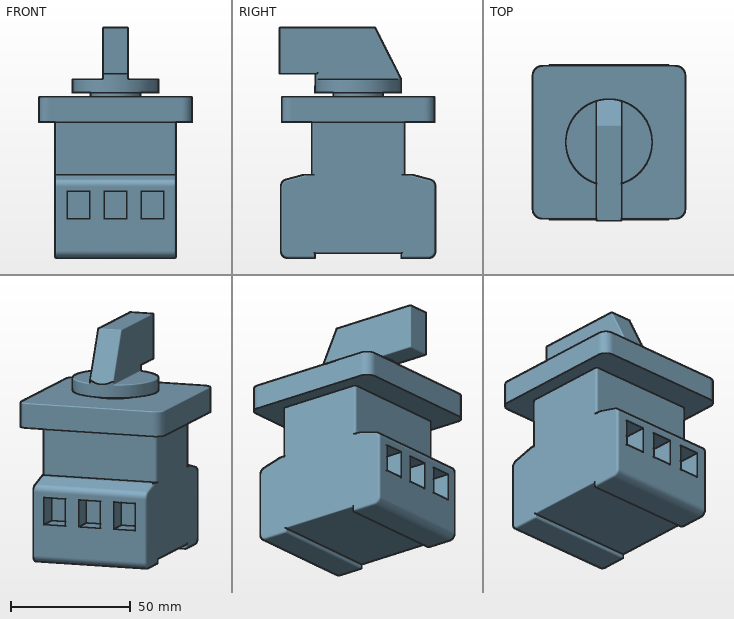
import cadquery as cq
import math

TOLERANCE = 0.1

BODY_WIDTH = 50.7
BODY_EDGE_RADIUS = 1.0

BASE_DEPTH = 64.75
BASE_TOP = 35.0
BASE_FLAT_DEPTH = 45.2
SHOULDER_SLOPE = 15
BASE_CORNER_RADIUS = 3.0

RAIL_SLOT_WIDTH = 35.9
RAIL_SLOT_HEIGHT = 2.0
RAIL_SLOT_EDGE_RADIUS = 0.5

WINDOW_COUNT = 3
WINDOW_PITCH = 15.4
WINDOW_WIDTH = 9.6
WINDOW_HEIGHT = 11.5
WINDOW_BOTTOM = 16.5
WINDOW_DEPTH = 9.65

NECK_DEPTH = 39.0

PLATE_SIZE = 64.0
PLATE_BOTTOM = 56.9
PLATE_TOP = 67.55
PLATE_CORNER_RADIUS = 4.15
PLATE_RIM_RADIUS = 0.5

STEM_DIAMETER = 20.9
DISC_RADIUS = 18.0
DISC_BOTTOM = 69.3
DISC_TOP = 74.9

GRIP_WIDTH = 10.6
GRIP_TOP = 96.5
GRIP_FRONT = -32.9
GRIP_UNDERSIDE = 77.1
GRIP_TOP_BACK = 7.1
KNOB_EDGE_RADIUS = 0.5


def make_base():
    """Base with sloping shoulders and rounded edges."""
    half_depth = BASE_DEPTH / 2
    slope = math.tan(math.radians(SHOULDER_SLOPE))
    shoulder_bottom = BASE_TOP - (half_depth - BASE_FLAT_DEPTH / 2) * slope
    peak = shoulder_bottom + half_depth * slope
    block = (
        cq.Workplane("YZ")
        .polyline([(-half_depth, 0), (half_depth, 0), (half_depth, shoulder_bottom),
                   (0, peak), (-half_depth, shoulder_bottom)])
        .close()
        .extrude(BODY_WIDTH / 2, both=True)
        .edges("|X and (<Y or >Y)")
        .fillet(BASE_CORNER_RADIUS)
        .faces("<X or >X")
        .edges()
        .fillet(BODY_EDGE_RADIUS)
    )
    above = cq.Workplane("XY", origin=(0, 0, BASE_TOP)).box(
        BODY_WIDTH, BASE_DEPTH, peak, centered=(True, True, False)
    )
    return block.cut(above)


def cut_rail_slot(base):
    """Slot along X under the base, with its mouth and end edges rounded."""
    slot = cq.Workplane("XY").box(
        BODY_WIDTH, RAIL_SLOT_WIDTH, RAIL_SLOT_HEIGHT, centered=(True, True, False)
    )
    slot_reach = RAIL_SLOT_WIDTH / 2 + TOLERANCE
    end_edges = cq.selectors.BoxSelector(
        (-BODY_WIDTH, -slot_reach, TOLERANCE),
        (BODY_WIDTH, slot_reach, RAIL_SLOT_HEIGHT + TOLERANCE),
    )
    slotted = base.cut(slot)
    return slotted.edges(end_edges).edges("not |X").fillet(RAIL_SLOT_EDGE_RADIUS)


def make_neck():
    return (
        cq.Workplane("XY", origin=(0, 0, BASE_TOP))
        .rect(BODY_WIDTH, NECK_DEPTH)
        .extrude(PLATE_BOTTOM - BASE_TOP)
        .edges("|Z")
        .fillet(BODY_EDGE_RADIUS)
    )


def make_plate():
    return (
        cq.Workplane("XY", origin=(0, 0, PLATE_BOTTOM))
        .rect(PLATE_SIZE, PLATE_SIZE)
        .extrude(PLATE_TOP - PLATE_BOTTOM)
        .edges("|Z")
        .fillet(PLATE_CORNER_RADIUS)
        .faces(">Z")
        .edges()
        .fillet(PLATE_RIM_RADIUS)
    )


def make_windows():
    """Blind wire openings, one row on the front of the base and a matching row on the back."""
    front_row = (
        cq.Workplane("XZ", origin=(0, -BASE_DEPTH / 2, WINDOW_BOTTOM + WINDOW_HEIGHT / 2))
        .rarray(WINDOW_PITCH, 1, WINDOW_COUNT, 1)
        .rect(WINDOW_WIDTH, WINDOW_HEIGHT)
        .extrude(-WINDOW_DEPTH)
    )
    return front_row.union(front_row.mirror("XZ"))


def make_housing():
    return cut_rail_slot(make_base()).union(make_neck()).union(make_plate()).cut(make_windows())


def make_disc():
    return (
        cq.Workplane("XY", origin=(0, 0, DISC_BOTTOM))
        .circle(DISC_RADIUS)
        .extrude(DISC_TOP - DISC_BOTTOM)
    )


def make_grip():
    """Handle with a sloping back, overhanging the front of the disc and trimmed to it below."""
    profile = [
        (GRIP_FRONT, GRIP_UNDERSIDE),
        (GRIP_FRONT, GRIP_TOP),
        (GRIP_TOP_BACK, GRIP_TOP),
        (DISC_RADIUS, DISC_TOP),
        (DISC_RADIUS, DISC_BOTTOM),
        (-DISC_RADIUS, DISC_BOTTOM),
        (-DISC_RADIUS, GRIP_UNDERSIDE),
    ]
    grip = cq.Workplane("YZ").polyline(profile).close().extrude(GRIP_WIDTH / 2, both=True)
    outside_foot = (
        cq.Workplane("XY", origin=(0, 0, DISC_BOTTOM))
        .rect(4 * DISC_RADIUS, 4 * DISC_RADIUS)
        .circle(DISC_RADIUS)
        .extrude(GRIP_UNDERSIDE - DISC_BOTTOM)
    )
    return grip.cut(outside_foot)


def make_stem():
    return (
        cq.Workplane("XY", origin=(0, 0, PLATE_TOP))
        .circle(STEM_DIAMETER / 2)
        .extrude(DISC_BOTTOM - PLATE_TOP)
    )


def make_knob():
    """Disc and grip blended together and carried on the stem."""
    handle = make_disc().union(make_grip())
    grip_edges = handle.edges("%LINE").edges(cq.selectors.BoxSelector(
        (-GRIP_WIDTH, -PLATE_SIZE, DISC_TOP - TOLERANCE),
        (GRIP_WIDTH, PLATE_SIZE, GRIP_TOP + TOLERANCE),
    ))
    rim = handle.edges("%CIRCLE").edges(cq.selectors.BoxSelector(
        (-PLATE_SIZE, -PLATE_SIZE, DISC_TOP - TOLERANCE),
        (PLATE_SIZE, PLATE_SIZE, DISC_TOP + TOLERANCE),
    ))
    rounded_edges = grip_edges.add(rim)
    return rounded_edges.fillet(KNOB_EDGE_RADIUS).union(make_stem())


housing = make_housing()
knob = make_knob()

result = cq.Compound.makeCompound([housing.solids().val(), knob.solids().val()])